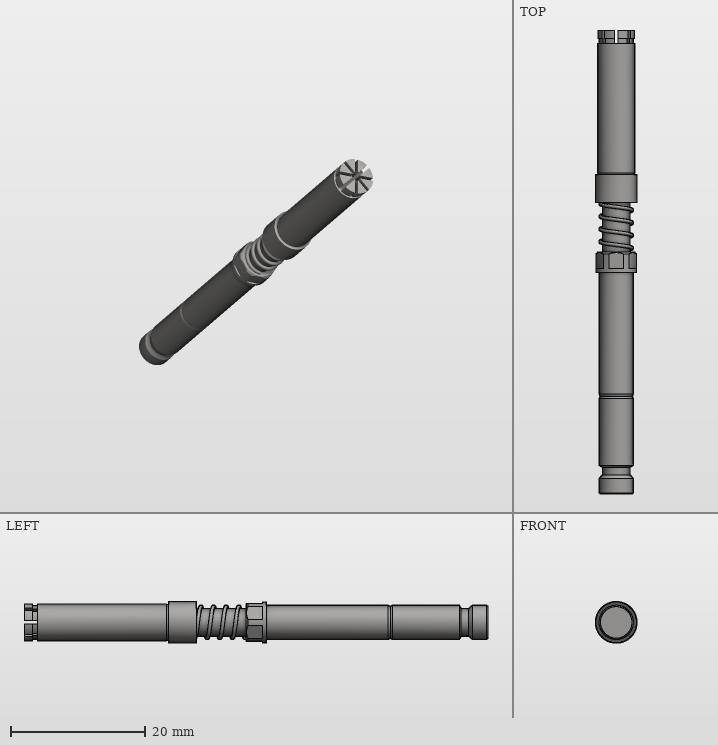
import cadquery as cq

total_length = 69.0
head_end = 2.35
neck_start = 2.9
neck_end = 4.0
shoulder = 4.3
groove_start = 14.2
groove_end = 14.9
nut_start = 33.0
flats_start = 33.6
nut_end = 36.0
collar_start = 43.4
collar_end = 47.55
body_start = 47.8
body_end = 67.1
tip_start = 67.8

plunger_radius = 2.55
neck_radius = 2.1
groove_radius = 2.4
nut_radius = 3.05
collar_radius = 3.1
shaft_radius = 2.1
body_radius = 2.75
relief_radius = 2.7
tip_neck_radius = 2.55
tail_chamfer = 0.2
nut_chamfer = 0.3

flat_count = 6
across_flats = 5.65

wire_radius = 0.3
coil_overlap = 0.035
coil_radius = shaft_radius + wire_radius - coil_overlap
coil_turns = 4
coil_start = 36.15
coil_end = 43.7
pitch = (coil_end - coil_start) / coil_turns

slot_count = 8
slot_width = 0.5


def turned_body():
    """Revolve all the round sections about the Y axis, tail at Y = 0."""
    groove_middle = (groove_start + groove_end) / 2
    profile = [
        (0, 0),
        (plunger_radius - tail_chamfer, 0),
        (plunger_radius, tail_chamfer),
        (plunger_radius, head_end),
        (neck_radius, neck_start),
        (neck_radius, neck_end),
        (plunger_radius, shoulder),
        (plunger_radius, groove_start),
        (groove_radius, groove_middle),
        (plunger_radius, groove_end),
        (plunger_radius, nut_start),
        (nut_radius, nut_start),
        (nut_radius, nut_end - nut_chamfer),
        (nut_radius - nut_chamfer, nut_end),
        (shaft_radius, nut_end),
        (shaft_radius, collar_start),
        (collar_radius, collar_start),
        (collar_radius, collar_end),
        (relief_radius, collar_end),
        (relief_radius, body_start),
        (body_radius, body_start),
        (body_radius, body_end),
        (tip_neck_radius, body_end),
        (tip_neck_radius, tip_start),
        (body_radius, tip_start),
        (body_radius, total_length),
        (0, total_length),
    ]
    return cq.Workplane("XY").polyline(profile).close().revolve(360, (0, 0, 0), (0, 1, 0))


def box_on_axis(width, start, end, bottom, top):
    """Box centred on X = 0, between two Y stations and two Z levels."""
    size = (width, end - start, top - bottom)
    centre = (0, (start + end) / 2, (bottom + top) / 2)
    return cq.Workplane("XY").box(*size).translate(centre)


def around_axis(shape, index, count):
    """Turn a shape about the Y axis to one of several equal steps."""
    return shape.rotate((0, 0, 0), (0, 1, 0), index * 360 / count)


def spring():
    """Left-handed coil wound on the shaft, its ends sunk in the nut and the collar."""
    path = cq.Wire.makeHelix(pitch, coil_end - coil_start, coil_radius, lefthand=True)
    section = cq.Workplane("XZ").center(coil_radius, 0).circle(wire_radius)
    coil = section.sweep(cq.Workplane(obj=path), isFrenet=True)
    coil = coil.rotate((0, 0, 0), (0, 0, 1), 90)
    coil = coil.rotate((0, 0, 0), (1, 0, 0), -90)
    return coil.translate((0, coil_start, 0))


part = turned_body()

flat_cutter = box_on_axis(2 * nut_radius, flats_start, nut_end, across_flats / 2, 2 * nut_radius)
for i in range(flat_count):
    part = part.cut(around_axis(flat_cutter, i, flat_count))

slot_cutter = box_on_axis(slot_width, body_end, total_length, 0, 2 * body_radius)
for i in range(slot_count):
    part = part.cut(around_axis(slot_cutter, i, slot_count))

part = part.union(spring())

result = part.translate((0, -total_length / 2, 0))